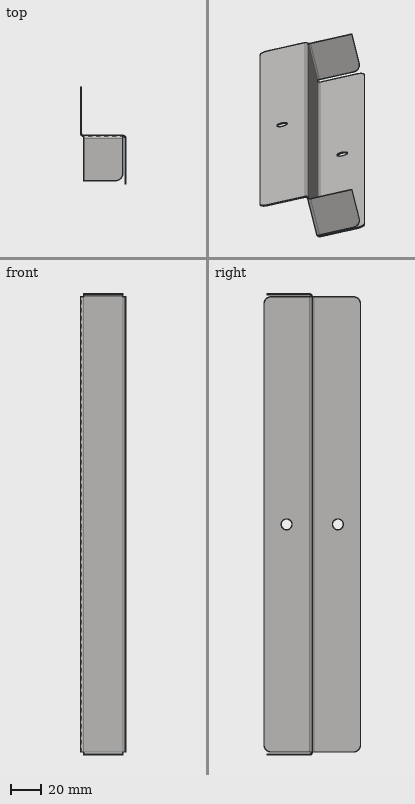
import cadquery as cq
import math


sheet = 0.8
inner_bend = 1.2
width = 30.0
height = 304.0
front_flange_length = 32.0
back_flange_length = 32.6
end_flange_length = 30.0
corner_radius = 5.0
hole_diameter = 7.0
hole_to_tip = 15.0

outer_bend = inner_bend + sheet
web_width = width - 2 * outer_bend
web_height = height - 2 * outer_bend


def bent_flange(length, run):
    """Bend and flange that leave the edge of the web.

    The bend starts at the local origin on the far face of the web, heads along +X
    and turns to +Y. The strip is centred on Z and `run` long.
    """
    half_turn = math.sqrt(0.5)
    outer_mid = (outer_bend * half_turn, outer_bend * (1 - half_turn))
    inner_mid = (inner_bend * half_turn, outer_bend - inner_bend * half_turn)
    return (
        cq.Workplane("XY")
        .moveTo(0, 0)
        .threePointArc(outer_mid, (outer_bend, outer_bend))
        .lineTo(outer_bend, length)
        .lineTo(inner_bend, length)
        .lineTo(inner_bend, outer_bend)
        .threePointArc(inner_mid, (0, sheet))
        .close()
        .extrude(run / 2, both=True)
    )


def make_side_flange(length):
    """Side flange on the +X edge, pointing to -Y, with rounded tip corners and a hole."""
    hole = (
        cq.Workplane("YZ")
        .center(length - hole_to_tip, 0)
        .circle(hole_diameter / 2)
        .extrude(outer_bend)
    )
    return (
        bent_flange(length, web_height)
        .faces(">Y")
        .edges("|X")
        .fillet(corner_radius)
        .cut(hole)
        .mirror("XZ")
        .translate((web_width / 2, sheet / 2, 0))
    )


def make_end_flange():
    """End flange on the +Z edge, pointing to -Y, with its +X tip corner rounded."""
    return (
        bent_flange(end_flange_length, web_width)
        .mirror("XZ")
        .rotate((0, 0, 0), (0, 1, 0), -90)
        .translate((0, sheet / 2, web_height / 2))
        .faces("<Y")
        .edges("|Z and >X")
        .fillet(corner_radius)
    )


web = cq.Workplane("XY").box(web_width, sheet, web_height)

front_flange = make_side_flange(front_flange_length)
back_flange = make_side_flange(back_flange_length).rotate((0, 0, 0), (0, 0, 1), 180)

top_flange = make_end_flange()
bottom_flange = top_flange.mirror("XY")

result = web
for flange in (front_flange, back_flange, top_flange, bottom_flange):
    result = result.union(flange)